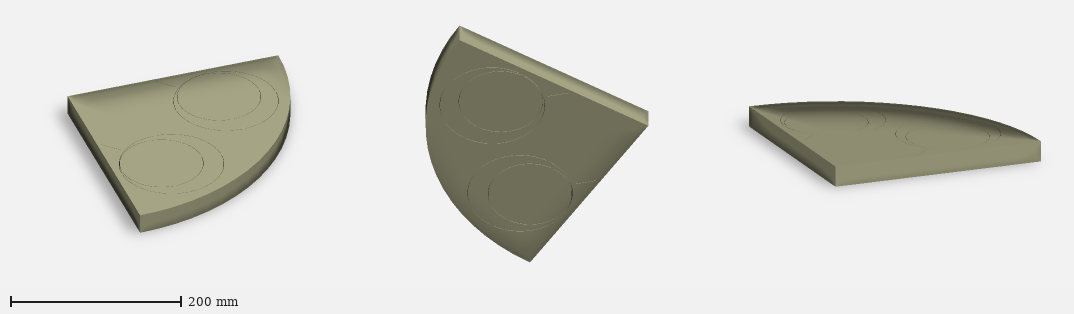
import cadquery as cq
import math

plate_radius = 262.0
plate_thickness = 25.0

slit_width = 0.5
large_ring_diameter = 124.0
small_ring_diameter = 99.0

bridge_width = 3.1

large_ring_near = 69.7
large_ring_far = 173.0
small_ring_near = 59.0
small_ring_far = 168.0

tick_length = 26.2
tick_gap = 4.2
tick_angle = 45.0


def make_plate():
    arc_middle = plate_radius * math.sqrt(0.5)
    return (
        cq.Workplane("XY")
        .lineTo(plate_radius, 0)
        .threePointArc((arc_middle, arc_middle), (0, plate_radius))
        .close()
        .extrude(plate_thickness)
    )


def ring_slit(center, outer_diameter):
    """Ring-shaped cutter, interrupted where the four bridges stay."""
    outer_radius = outer_diameter / 2
    base = cq.Workplane("XY", origin=(center[0], center[1], 0))
    ring = (
        base.circle(outer_radius)
        .circle(outer_radius - slit_width)
        .extrude(plate_thickness)
    )
    bridge_span = outer_diameter + slit_width
    bridges_along_x = base.rect(bridge_span, bridge_width).extrude(plate_thickness)
    bridges_along_y = base.rect(bridge_width, bridge_span).extrude(plate_thickness)
    return ring.cut(bridges_along_x).cut(bridges_along_y)


def tick_slit(ring_center):
    """Straight cutter running from the large ring toward the -X, -Y side."""
    middle_distance = large_ring_diameter / 2 + tick_gap + tick_length / 2
    return (
        cq.Workplane("XY", origin=(ring_center[0], ring_center[1], 0))
        .transformed(rotate=(0, 0, tick_angle))
        .center(-middle_distance, 0)
        .rect(tick_length, slit_width)
        .extrude(plate_thickness)
    )


result = make_plate()

large_centers = [(large_ring_near, large_ring_far), (large_ring_far, large_ring_near)]
small_centers = [(small_ring_near, small_ring_far), (small_ring_far, small_ring_near)]

for large_center, small_center in zip(large_centers, small_centers):
    result = result.cut(ring_slit(large_center, large_ring_diameter))
    result = result.cut(ring_slit(small_center, small_ring_diameter))
    result = result.cut(tick_slit(large_center))